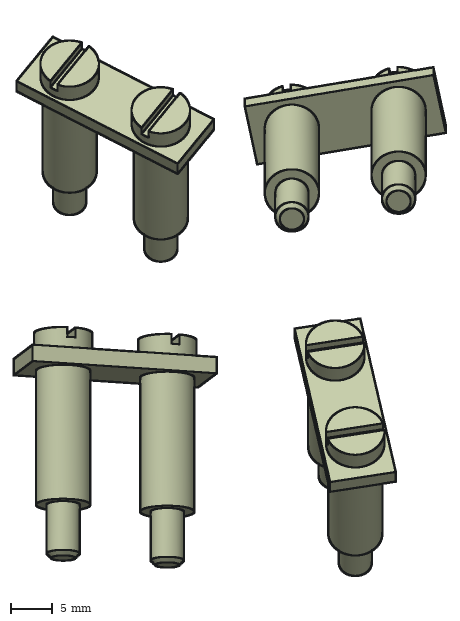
import cadquery as cq

plate_length = 23.0
plate_width = 8.0
plate_thickness = 2.01

screw_spacing = 13.0
head_diameter = 7.0
head_height = 2.6
slot_width = 1.0
slot_depth = 1.21

sleeve_diameter = 6.5
sleeve_length = 16.45
pin_diameter = 4.0
tip_chamfer = 0.55
total_height = 27.6
pin_length = total_height - head_height - plate_thickness - sleeve_length

plate_top = plate_thickness
head_top = plate_top + head_height
sleeve_bottom = -sleeve_length
pin_bottom = sleeve_bottom - pin_length


def cylinder(diameter, bottom, height):
    """Vertical cylinder on the Z axis."""
    return cq.Workplane("XY").workplane(offset=bottom).circle(diameter / 2).extrude(height)


def slotted_head():
    """Cheese head with a driver slot running along Y."""
    head = cylinder(head_diameter, plate_top, head_height)
    slot = (
        cq.Workplane("XY")
        .workplane(offset=head_top - slot_depth)
        .rect(slot_width, head_diameter)
        .extrude(slot_depth)
    )
    return head.cut(slot)


def screw_with_sleeve():
    """Head above the plate, sleeve and chamfered pin below it."""
    sleeve = cylinder(sleeve_diameter, sleeve_bottom, sleeve_length + plate_thickness)
    pin = cylinder(pin_diameter, pin_bottom, pin_length).faces("<Z").chamfer(tip_chamfer)
    return slotted_head().union(sleeve).union(pin)


result = cq.Workplane("XY").box(
    plate_length, plate_width, plate_thickness, centered=(True, True, False)
)
for side in (-1, 1):
    screw_x = side * screw_spacing / 2
    result = result.union(screw_with_sleeve().translate((screw_x, 0, 0)))